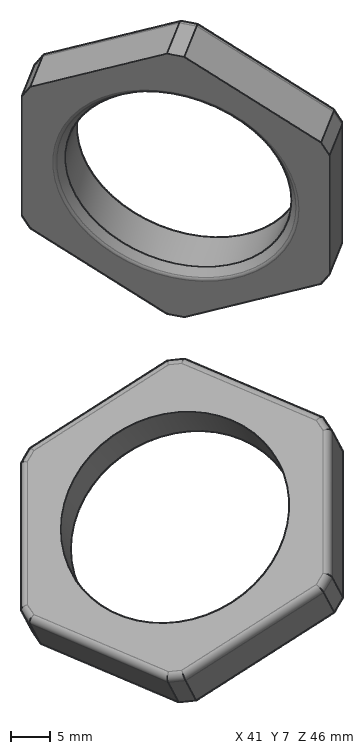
import cadquery as cq

across_flats = 41.0
across_corners = 46.0
thickness = 7.0
back_edge_radius = 1.0

bore_radius = 15.05
mouth_radius = 16.1
mouth_depth = 1.25
rim_rounding = 0.6


def hexagonal_prism(distance_across_flats, rotation):
    """Prism from the front to the back face; at rotation 0 two of its flats face +X and -X."""
    return (
        cq.Workplane("XZ")
        .polygon(6, distance_across_flats, circumscribed=True)
        .extrude(-thickness)
        .rotate((0, 0, 0), (0, 1, 0), rotation)
    )


def bore_cutter():
    """Bore and conical mouth, revolved about the Y axis."""
    return (
        cq.Workplane("XY")
        .polyline([
            (0, 0),
            (mouth_radius, 0),
            (bore_radius, mouth_depth),
            (bore_radius, thickness),
            (0, thickness),
        ])
        .close()
        .revolve(360, (0, 0, 0), (0, 1, 0))
    )


body = hexagonal_prism(across_flats, 0).intersect(hexagonal_prism(across_corners, 30))
body = body.faces(">Y").edges().fillet(back_edge_radius)
body = body.cut(bore_cutter())

result = body.faces("<Y").edges("%CIRCLE").fillet(rim_rounding)